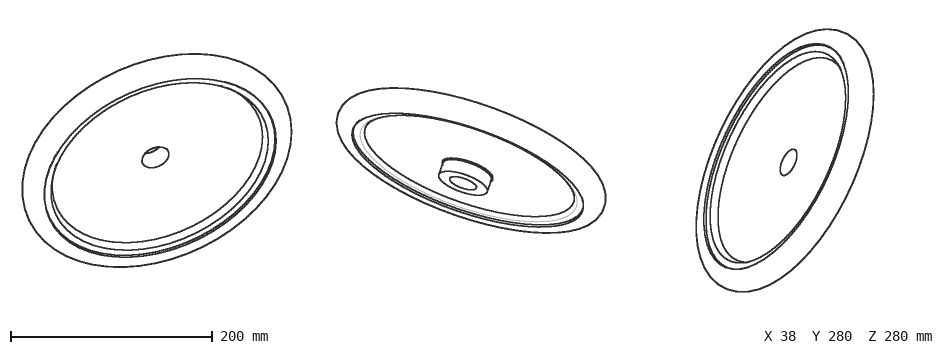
import cadquery as cq
import math

outer_radius = 140.0
rim_section_radius = 12.5
total_length = 38.0
bore_radius = 14.0
hub_radius = 25.5
hub_root_radius = 26.5
hub_flare_length = 1.0

web_hub_x = 14.3
web_edge_radius = 109.7
shoulder_x = 16.8
shoulder_round = 3.5
shoulder_outer_radius = 120.5
rim_seat_radius = 121.0
web_thickness = 6.7

shoulder_inner_radius = web_edge_radius + shoulder_round
web_edge_x = shoulder_x + shoulder_round
round_offset = shoulder_round * (1 - math.sqrt(0.5))

rim_center_radius = outer_radius - rim_section_radius
rim_center_x = total_length - rim_section_radius
rim_seat_x = rim_center_x - math.sqrt(
    rim_section_radius**2 - (rim_center_radius - rim_seat_radius)**2
)
shoulder_back_x = 2 * rim_center_x - shoulder_x
rim_back_x = 2 * rim_center_x - rim_seat_x
web_back_edge_x = web_edge_x + web_thickness
web_back_hub_x = web_hub_x + web_thickness

section = (
    cq.Workplane("XY")
    .moveTo(0, bore_radius)
    .lineTo(0, hub_radius)
    .lineTo(web_hub_x - hub_flare_length, hub_radius)
    .lineTo(web_hub_x, hub_root_radius)
    .lineTo(web_edge_x, web_edge_radius)
    .threePointArc(
        (shoulder_x + round_offset, web_edge_radius + round_offset),
        (shoulder_x, shoulder_inner_radius),
    )
    .lineTo(shoulder_x, shoulder_outer_radius)
    .lineTo(rim_seat_x, rim_seat_radius)
    .threePointArc((rim_center_x, outer_radius), (rim_back_x, rim_seat_radius))
    .lineTo(shoulder_back_x, shoulder_outer_radius)
    .lineTo(shoulder_back_x, shoulder_inner_radius)
    .lineTo(web_back_edge_x, web_edge_radius)
    .lineTo(web_back_hub_x, bore_radius)
    .close()
)
result = section.revolve(360, (0, 0, 0), (1, 0, 0))